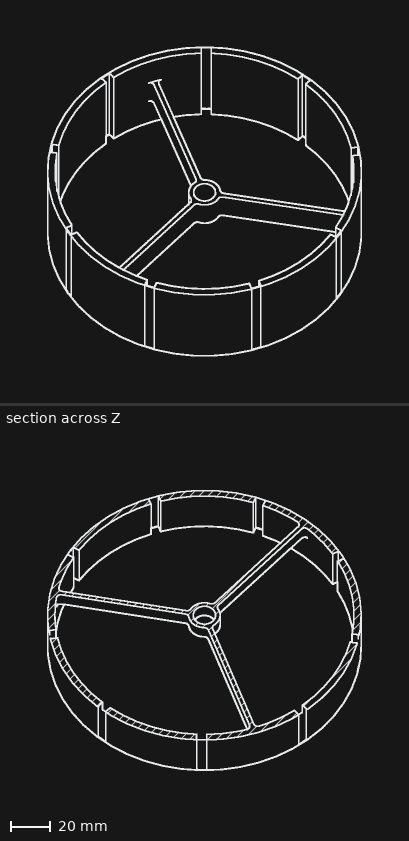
import cadquery as cq

outer_diameter = 157.7
bore_of_rim = 150.0
height = 50.0
outer_radius = outer_diameter / 2
inner_radius = bore_of_rim / 2
rim_thickness = outer_radius - inner_radius

slot_count = 9
slot_width = 5.0
skin_thickness = 0.5
slot_floor_radius = outer_radius - skin_thickness

hub_diameter = 16.0
hub_bore_diameter = 11.0
hub_height = 15.0
hub_base = (height - hub_height) / 2
spoke_count = 3
spoke_width = 2.5
first_spoke_angle = 20.0
corner_radius = 2.0


def around_axis(shape, count, first_angle=0.0):
    """Join evenly spaced copies of a shape, turned about the Z axis."""
    joined = cq.Workplane("XY")
    for index in range(count):
        angle = first_angle + index * 360.0 / count
        joined = joined.add(shape.rotate((0, 0, 0), (0, 0, 1), angle))
    return joined.combine()


def radial_bar(plane, start_radius, end_radius, width, bar_height):
    """Straight bar along +X between two radii, standing on the given plane."""
    middle = (start_radius + end_radius) / 2
    return plane.center(middle, 0).rect(end_radius - start_radius, width).extrude(bar_height)


def make_rim():
    """Round wall standing on the XY plane."""
    return cq.Workplane("XY").circle(outer_radius).circle(inner_radius).extrude(height)


def make_slots():
    """Full-height radial slots with a round floor that leaves the skin whole."""
    base = cq.Workplane("XY")
    floor_cylinder = base.circle(slot_floor_radius).extrude(height)
    bar = radial_bar(base, inner_radius - rim_thickness, outer_radius, slot_width, height)
    return around_axis(bar.intersect(floor_cylinder), slot_count)


def make_spider():
    """Bored hub with three spokes, rounded where the spokes meet hub and rim.

    The spider is a disc that overlaps the rim, with the three openings between
    the spokes taken out. Rounding the openings' corners rounds the spoke roots.
    """
    base = cq.Workplane("XY").workplane(offset=hub_base)
    disc = base.circle(inner_radius + rim_thickness / 2).extrude(hub_height)
    ring = base.circle(inner_radius).circle(hub_diameter / 2).extrude(hub_height)
    spoke = radial_bar(base, 0, outer_radius, spoke_width, hub_height)
    openings = ring.cut(around_axis(spoke, spoke_count, first_spoke_angle))
    openings = openings.edges("|Z").fillet(corner_radius)
    hub_bore = base.circle(hub_bore_diameter / 2).extrude(hub_height)
    return disc.cut(openings).cut(hub_bore)


result = make_rim().union(make_spider()).cut(make_slots())